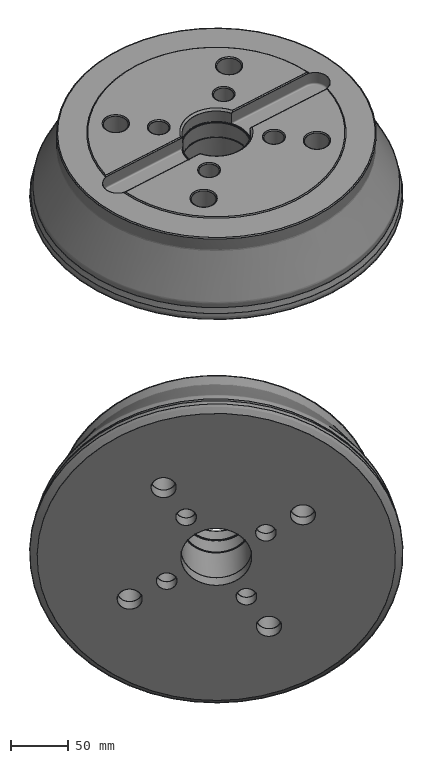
import cadquery as cq

outer_diameter = 326.7
ring_face_height = 79.0
boss_rise = 1.0
boss_height = ring_face_height + boss_rise

top_diameter = 280.0
top_chamfer = 1.0
cone_top_height = 64.7
cone_top_blend = 2.5
skirt_diameter = 321.2
cone_bottom_height = 21.5
cone_bottom_blend = 4.0
skirt_bottom_height = 16.5
shoulder_diameter = 322.8
shoulder_height = 14.0
joint_diameter = 325.0
joint_height = 11.0

lip_top_height = 8.0
lip_bottom_height = 5.2
bevel_break_diameter = 322.8
bevel_break_height = 3.3
rim_bottom_diameter = 313.7

boss_diameter = 227.0

bore_diameter = 60.0
bore_chamfer = 2.0
relief_diameter = 62.0
relief_top_height = 47.5
bore_ring_depth = 1.0

groove_width = 26.0
groove_length = 245.0
groove_floor_height = 65.5
groove_fillet = 1.5

hole_chamfer = 1.0
inner_hole_diameter = 18.0
inner_hole_offset = 36.0
outer_hole_diameter = 22.0
outer_hole_offset = 62.7


def revolve_outline(points):
    """Turn a closed (radius, height) outline into a solid about the Z axis."""
    return cq.Workplane("XZ").polyline(points).close().revolve(360, (0, 0, 0), (0, 1, 0))


def make_blank():
    """Turned housing: cylinder, cone and flared skirt above the joint, with the boss on top."""
    top_radius = top_diameter / 2
    skirt_radius = skirt_diameter / 2
    boss_radius = boss_diameter / 2
    blank = revolve_outline([
        (0, joint_height),
        (joint_diameter / 2, joint_height),
        (shoulder_diameter / 2, shoulder_height),
        (skirt_radius, skirt_bottom_height),
        (skirt_radius, cone_bottom_height),
        (top_radius, cone_top_height),
        (top_radius, ring_face_height - top_chamfer),
        (top_radius - top_chamfer, ring_face_height),
        (boss_radius, ring_face_height),
        (boss_radius - boss_rise, boss_height),
        (0, boss_height),
    ])
    corners = ((cone_bottom_height, cone_bottom_blend), (cone_top_height, cone_top_blend))
    for height, blend_radius in corners:
        corner = cq.selectors.NearestToPointSelector((0, 0, height))
        blank = blank.edges(corner).fillet(blend_radius)
    return blank


def make_groove():
    """Round-ended groove along Y, with a rounded floor and bevelled edges on the boss."""
    groove = (
        cq.Workplane("XY", origin=(0, 0, groove_floor_height))
        .slot2D(groove_length, groove_width, 90)
        .extrude(boss_height - groove_floor_height)
        .faces("<Z").edges().fillet(groove_fillet)
    )
    half_width = groove_width / 2
    bevel = (
        cq.Workplane("XZ")
        .polyline([
            (-half_width, ring_face_height),
            (half_width, ring_face_height),
            (half_width + boss_rise, boss_height),
            (-half_width - boss_rise, boss_height),
        ])
        .close()
        .extrude(boss_diameter / 2, both=True)
    )
    return groove.union(bevel)


def make_bore():
    """Central bore: chamfered mouth, thin ring cut under the groove floor, wider lower length."""
    bore_radius = bore_diameter / 2
    relief_radius = relief_diameter / 2
    ring_bottom_height = groove_floor_height - bore_ring_depth
    return revolve_outline([
        (0, 0),
        (relief_radius, 0),
        (relief_radius, relief_top_height),
        (bore_radius, relief_top_height),
        (bore_radius, ring_bottom_height),
        (relief_radius, ring_bottom_height),
        (relief_radius, groove_floor_height),
        (bore_radius, groove_floor_height),
        (bore_radius, boss_height - bore_chamfer),
        (bore_radius + bore_chamfer, boss_height),
        (0, boss_height),
    ])


def make_holes(diameter, offset):
    """Four chamfered through holes at the corners of a square."""
    radius = diameter / 2
    hole = revolve_outline([
        (0, 0),
        (radius, 0),
        (radius, boss_height - hole_chamfer),
        (radius + hole_chamfer, boss_height),
        (0, boss_height),
    ])
    holes = cq.Workplane("XY")
    for x in (-offset, offset):
        for y in (-offset, offset):
            holes = holes.add(hole.translate((x, y, 0)))
    return holes.combine()


def make_housing():
    """Housing with its groove, bore and hole pattern."""
    return (
        make_blank()
        .cut(make_groove())
        .cut(make_bore())
        .cut(make_holes(inner_hole_diameter, inner_hole_offset))
        .cut(make_holes(outer_hole_diameter, outer_hole_offset))
    )


def make_rim():
    """Base plate below the joint, with a tapered shoulder, a thin lip and a two-step bevel."""
    outer_radius = outer_diameter / 2
    blank = revolve_outline([
        (0, 0),
        (rim_bottom_diameter / 2, 0),
        (bevel_break_diameter / 2, bevel_break_height),
        (outer_radius, lip_bottom_height),
        (outer_radius, lip_top_height),
        (joint_diameter / 2, joint_height),
        (0, joint_height),
    ])
    return (
        blank
        .cut(make_bore())
        .cut(make_holes(inner_hole_diameter, inner_hole_offset))
        .cut(make_holes(outer_hole_diameter, outer_hole_offset))
    )


housing = make_housing()
rim = make_rim()
result = cq.Compound.makeCompound([housing.val(), rim.val()])